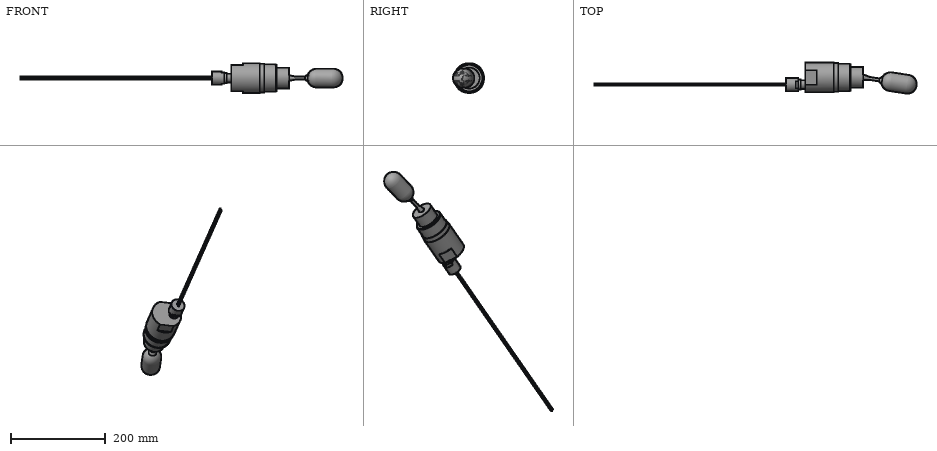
import cadquery as cq
import math

cable_offset = -15.0
wire_radius = 1.5
wire_offset_y = 1.0
wire_offset_z = 2.0
gland_start = 404.0
gland_end = 431.0
gland_radius = 14.0
gland_flat_length = 6.0
gland_flat_distance = 12.0
neck_start = 435.5
shoulder_radius = 11.0
neck_radius = 9.5

body_start = 445.0
body_end = 505.0
body_diameter = 63.0
body_radius = body_diameter / 2
flat_distance = 28.0
flat_end = 469.5
collar_end = 515.0
collar_radius = 30.5
sleeve_end = 541.0
sleeve_radius = 29.0
groove_width = 2.0
groove_radius = 28.0
nose_end = 567.5
nose_diameter = 44.0
nose_radius = nose_diameter / 2

total_length = 680.5
float_diameter = 40.0
float_radius = float_diameter / 2
overall_width = 66.0
float_low_side = body_radius - overall_width
float_straight = 35.5
rod_radius = 3.5
boot_length = 13.5
boot_radius = 6.0
float_collar_length = 6.0
float_collar_radius = 8.0

tip_center_x = total_length - float_radius
tip_center_y = float_low_side + float_radius
tip_distance = math.hypot(tip_center_x - nose_end, tip_center_y)
tilt_angle = math.degrees(math.atan2(tip_center_y, tip_center_x - nose_end))


def turned(profile):
    """Solid of revolution about X from a half profile in the XY plane."""
    return profile.close().revolve(360, (0, 0, 0), (1, 0, 0))


def cut_flats(solid, start, end, outer_radius, distance):
    """Cut flats above and below the X axis, at the given distance from it."""
    length = end - start
    cut_height = outer_radius - distance
    for side in (1, -1):
        cutter = cq.Workplane("XY").box(length, 2 * outer_radius, cut_height)
        cutter_z = side * (distance + cut_height / 2)
        solid = solid.cut(cutter.translate((start + length / 2, 0, cutter_z)))
    return solid


def make_cable():
    """Gland with two separate wires running from its end face."""
    profile = (
        cq.Workplane("XY")
        .moveTo(gland_start, 0)
        .lineTo(gland_start, gland_radius)
        .lineTo(gland_end, gland_radius)
        .lineTo(gland_end, shoulder_radius)
        .lineTo(neck_start, shoulder_radius)
        .lineTo(neck_start, neck_radius)
        .lineTo(body_start, neck_radius)
        .lineTo(body_start, 0)
    )
    cable = cut_flats(
        turned(profile), gland_end - gland_flat_length, gland_end, gland_radius, gland_flat_distance
    )
    for side in (1, -1):
        wire = cq.Workplane("YZ").circle(wire_radius).extrude(gland_start)
        cable = cable.union(wire.translate((0, side * wire_offset_y, side * wire_offset_z)))
    return cable.translate((0, cable_offset, 0))


def make_body():
    groove_start = sleeve_end - groove_width
    profile = (
        cq.Workplane("XY")
        .moveTo(body_start, 0)
        .lineTo(body_start, body_radius)
        .lineTo(body_end, body_radius)
        .lineTo(body_end, collar_radius)
        .lineTo(collar_end, collar_radius)
        .lineTo(collar_end, sleeve_radius)
        .lineTo(groove_start, sleeve_radius)
        .lineTo(groove_start, groove_radius)
        .lineTo(sleeve_end, groove_radius)
        .lineTo(sleeve_end, nose_radius)
        .lineTo(nose_end, nose_radius)
        .lineTo(nose_end, 0)
    )
    return cut_flats(turned(profile), body_start, flat_end, body_radius, flat_distance)


def make_float():
    """Float, rod and boot along X from the origin, then tilted onto the nose."""
    rear_center = tip_distance - float_straight
    collar_end_x = rear_center - math.sqrt(float_radius**2 - float_collar_radius**2)
    diagonal = float_radius * math.sqrt(0.5)
    embedded_start = -boot_radius
    profile = (
        cq.Workplane("XY")
        .moveTo(embedded_start, 0)
        .lineTo(embedded_start, boot_radius)
        .lineTo(0, boot_radius)
        .lineTo(boot_length, rod_radius)
        .lineTo(collar_end_x - float_collar_length, rod_radius)
        .lineTo(collar_end_x, float_collar_radius)
        .threePointArc((rear_center - diagonal, diagonal), (rear_center, float_radius))
        .lineTo(tip_distance, float_radius)
        .threePointArc((tip_distance + diagonal, diagonal), (tip_distance + float_radius, 0))
    )
    hanging_float = turned(profile).rotate((0, 0, 0), (0, 0, 1), tilt_angle)
    return hanging_float.translate((nose_end, 0, 0))


result = make_body().union(make_cable()).union(make_float())